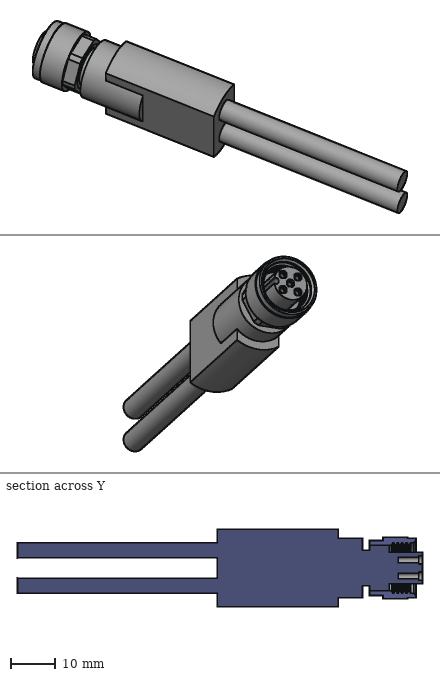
import cadquery as cq

NUT_FRONT = 1.5
KNURL_FRONT = 3.4
COLLAR_FRONT = 7.5
KNURL_BACK = 9.0
NUT_BACK = 12.0
GRIP_FRONT = 13.6
BLOCK_FRONT = 19.05
GRIP_BACK = 28.5
BLOCK_BACK = 46.4
CABLE_END = 91.6

NUT_RIM_DIAMETER = 14.0
KNURL_DIAMETER = 14.5
HEX_ACROSS_FLATS = 12.5
HEX_CORNER_DIAMETER = 13.65
HEX_TURN = 30

MOUTH_DIAMETER = 13.0
THREAD_ROOT_DIAMETER = 11.9
BORE_DIAMETER = 10.8
MOUTH_TAPER_LENGTH = 0.55
THREAD_RIDGES = 5
THREAD_PITCH = 1.0
FLANK_LENGTH = 0.3
CREST_LENGTH = 0.3
ENTRY_LENGTH = 0.6

INSERT_DIAMETER = 8.1
NECK_DIAMETER = 9.0
GRIP_DIAMETER = 14.0

KEYWAY_RADIUS = 0.7
KEYWAY_OFFSET = 3.7

CONTACT_OFFSET = 1.8
CONTACT_MOUTH_DIAMETER = 1.8
CONTACT_BORE_DIAMETER = 1.2
CONTACT_MOUTH_DEPTH = 0.8
CONTACT_DEPTH = 5.5

BLOCK_WIDTH = 10.3
BLOCK_HEIGHT = 17.95
BLOCK_EDGE_HEIGHT = 15.0

CABLE_DIAMETER = 5.0
CABLE_SPACING = 8.0


def section_plane(x):
    """Plane across the axis at x: local x is Y, local y is Z, extrusion goes toward +X."""
    return cq.Workplane("YZ", origin=(x, 0, 0))


def cylinder(diameter, start, end):
    """Round bar on the connector axis from start to end."""
    return section_plane(start).circle(diameter / 2).extrude(end - start)


def make_nut_bore():
    """Turned cavity through the nut, widened at the front and grooved between the thread ridges."""
    thread_start = NUT_FRONT + MOUTH_TAPER_LENGTH
    profile = (
        cq.Workplane("XY")
        .moveTo(NUT_FRONT, 0)
        .lineTo(NUT_FRONT, MOUTH_DIAMETER / 2)
        .lineTo(thread_start, THREAD_ROOT_DIAMETER / 2)
    )
    for turn in range(THREAD_RIDGES):
        ridge_start = thread_start + ENTRY_LENGTH + turn * THREAD_PITCH
        crest_start = ridge_start + FLANK_LENGTH
        crest_end = crest_start + CREST_LENGTH
        profile = (
            profile.lineTo(ridge_start, THREAD_ROOT_DIAMETER / 2)
            .lineTo(crest_start, BORE_DIAMETER / 2)
            .lineTo(crest_end, BORE_DIAMETER / 2)
        )
        if turn < THREAD_RIDGES - 1:
            profile = profile.lineTo(crest_end + FLANK_LENGTH, THREAD_ROOT_DIAMETER / 2)
    return (
        profile.lineTo(NUT_BACK, BORE_DIAMETER / 2)
        .lineTo(NUT_BACK, 0)
        .close()
        .revolve(360, (0, 0, 0), (1, 0, 0))
    )


def make_nut():
    """Coupling nut: round rim and knurl band, hexagonal tail, threaded through bore."""
    rim = cylinder(NUT_RIM_DIAMETER, NUT_FRONT, KNURL_FRONT)
    knurl = cylinder(KNURL_DIAMETER, KNURL_FRONT, KNURL_BACK)
    hex_length = NUT_BACK - KNURL_BACK
    hex_tail = (
        section_plane(KNURL_BACK)
        .transformed(rotate=(0, 0, HEX_TURN))
        .polygon(6, HEX_ACROSS_FLATS, circumscribed=True)
        .extrude(hex_length)
        .intersect(cylinder(HEX_CORNER_DIAMETER, KNURL_BACK, NUT_BACK))
    )
    outside = rim.union(knurl).union(hex_tail)
    return outside.cut(make_nut_bore())


def make_block():
    """Flat-sided splitter block with arched top and bottom."""
    half_width = BLOCK_WIDTH / 2
    half_height = BLOCK_HEIGHT / 2
    half_edge = BLOCK_EDGE_HEIGHT / 2
    return (
        section_plane(BLOCK_FRONT)
        .moveTo(-half_width, -half_edge)
        .threePointArc((0, -half_height), (half_width, -half_edge))
        .lineTo(half_width, half_edge)
        .threePointArc((0, half_height), (-half_width, half_edge))
        .close()
        .extrude(BLOCK_BACK - BLOCK_FRONT)
    )


def make_contact_holes():
    """Blind counterbored holes cut into the contact face."""
    places = [(0, 0)] + [
        (y, z) for y in (-CONTACT_OFFSET, CONTACT_OFFSET) for z in (-CONTACT_OFFSET, CONTACT_OFFSET)
    ]
    bores = section_plane(0).pushPoints(places).circle(CONTACT_BORE_DIAMETER / 2).extrude(CONTACT_DEPTH)
    mouths = (
        section_plane(0)
        .pushPoints(places)
        .circle(CONTACT_MOUTH_DIAMETER / 2)
        .extrude(CONTACT_MOUTH_DEPTH)
    )
    return bores.union(mouths)


def make_keyway():
    """Round-bottomed groove along the exposed part of the insert."""
    return section_plane(0).center(KEYWAY_OFFSET, 0).circle(KEYWAY_RADIUS).extrude(COLLAR_FRONT)


def make_connector():
    """Contact insert, collar, neck, grip, splitter block and two cables as one moulded body."""
    insert = cylinder(INSERT_DIAMETER, 0, COLLAR_FRONT)
    collar = cylinder(BORE_DIAMETER, COLLAR_FRONT, NUT_BACK)
    neck = cylinder(NECK_DIAMETER, NUT_BACK, GRIP_FRONT)
    grip = cylinder(GRIP_DIAMETER, GRIP_FRONT, GRIP_BACK)
    cables = (
        section_plane(BLOCK_BACK)
        .pushPoints([(0, -CABLE_SPACING / 2), (0, CABLE_SPACING / 2)])
        .circle(CABLE_DIAMETER / 2)
        .extrude(CABLE_END - BLOCK_BACK)
    )
    body = insert.union(collar).union(neck).union(grip).union(make_block()).union(cables)
    return body.cut(make_contact_holes()).cut(make_keyway())


nut = make_nut()
connector = make_connector()

result = cq.Compound.makeCompound([nut.val(), connector.val()])